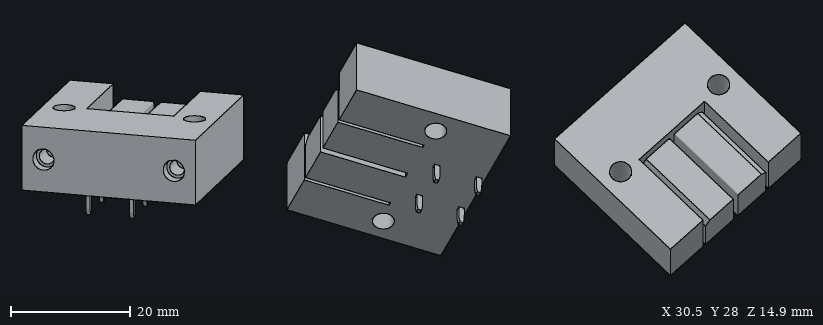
import cadquery as cq

width = 30.48
depth = 28.0
height = 11.37

notch_width = 15.25
notch_depth = 15.42

rail_drop = 2.5
rail_top = height - rail_drop
rail_gap = 1.0
rail_outer_x = 7.05
rail_fillet = 0.3
rail_chamfer = 1.05

hole_diameter = 3.7
hole_x = (width + notch_width) / 4
vertical_hole_y = 12.05
front_hole_z = height / 2
counterbore_depth = 2.0
pilot_diameter = 2.65
pilot_depth = 6.1

pin_pitch = 7.62
pin_thickness = 0.75
pin_width = 1.0
pin_length = 3.55
pin_tip_height = 1.0
pin_tip_width = 0.6
front_pin_y = 1.13


def make_rail(side):
    """One rail running along the notch; side is -1 (left) or +1 (right)."""
    inner_x = rail_gap / 2
    back = cq.Workplane("XZ", origin=(0, depth, 0))
    return (
        back.moveTo(side * inner_x, 0)
        .lineTo(side * inner_x, rail_top - rail_fillet)
        .radiusArc((side * (inner_x + rail_fillet), rail_top), side * rail_fillet)
        .lineTo(side * (rail_outer_x - rail_chamfer), rail_top)
        .lineTo(side * rail_outer_x, rail_top - rail_chamfer)
        .lineTo(side * rail_outer_x, 0)
        .close()
        .extrude(notch_depth)
    )


def make_housing():
    """Notched block with its two rails and the holes in both arms."""
    block = cq.Workplane("XY").box(width, depth, height, centered=(True, False, False))
    notch = (
        cq.Workplane("XY", origin=(0, depth - notch_depth, 0))
        .box(notch_width, notch_depth, height, centered=(True, False, False))
    )
    body = block.cut(notch)
    for side in (-1, 1):
        body = body.union(make_rail(side))
        vertical_hole = (
            cq.Workplane("XY", origin=(side * hole_x, vertical_hole_y, 0))
            .circle(hole_diameter / 2)
            .extrude(height)
        )
        front = cq.Workplane("XZ", origin=(side * hole_x, 0, front_hole_z))
        counterbore = front.circle(hole_diameter / 2).extrude(-counterbore_depth)
        pilot = front.circle(pilot_diameter / 2).extrude(-pilot_depth)
        body = body.cut(vertical_hole).cut(counterbore).cut(pilot)
    return body


def make_pin(x, y):
    """Flat pin hanging from the underside, its end tapered across Y."""
    half_width = pin_width / 2
    half_tip = pin_tip_width / 2
    taper_z = pin_tip_height - pin_length
    outline = [
        (-half_width, 0),
        (-half_width, taper_z),
        (-half_tip, -pin_length),
        (half_tip, -pin_length),
        (half_width, taper_z),
        (half_width, 0),
    ]
    side_plane = cq.Workplane("YZ", origin=(x - pin_thickness / 2, y, 0))
    return side_plane.polyline(outline).close().extrude(pin_thickness)


housing = make_housing()
pins = [
    make_pin(x, y)
    for x in (-pin_pitch / 2, pin_pitch / 2)
    for y in (front_pin_y, front_pin_y + pin_pitch)
]

result = cq.Compound.makeCompound([housing.val(), *[pin.val() for pin in pins]])